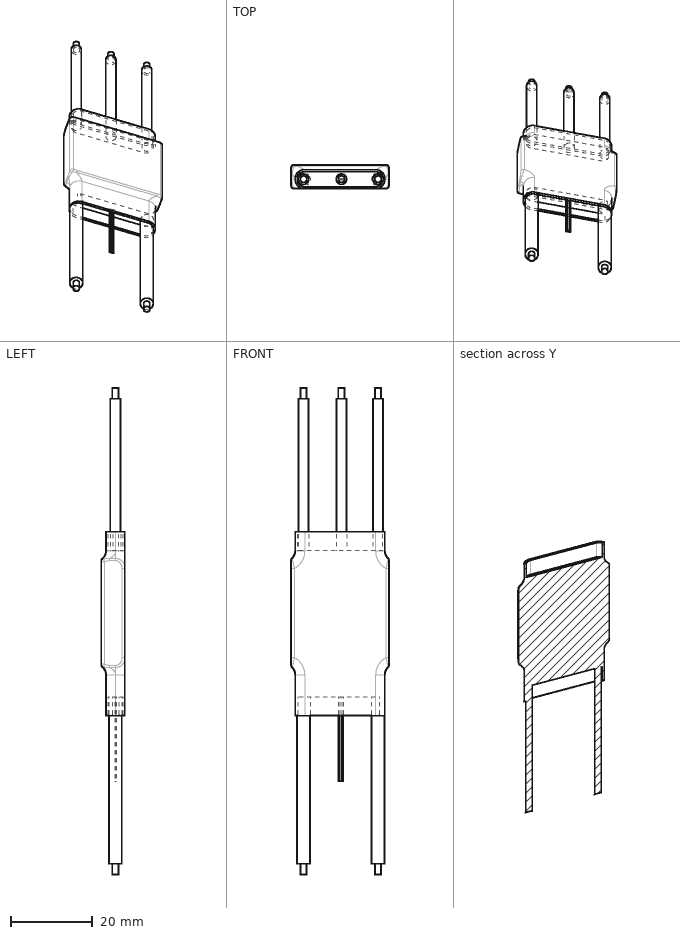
import cadquery as cq

total_length = 119.13
body_width = 24.0
body_thickness = 5.84
body_length = 45.0
body_edge_radius = 0.75

sleeve_width = 22.0
sleeve_thickness = 4.66
sleeve_wall = 0.5
upper_sleeve_length = 4.7
lower_sleeve_length = 10.0
mouth_depth = 4.6
flare_radius = 2.5
side_flat = 0.02
sleeve_edge_radius = (sleeve_thickness - side_flat) / 2

upper_wire_reach = 35.2
lower_wire_reach = total_length - body_length - upper_wire_reach
upper_wire_diameter = 2.54
lower_wire_diameter = 3.2
conductor_diameter = 1.58
bare_length = 2.65
left_wire_x = -8.93
middle_wire_x = 0.35
right_wire_x = 9.3
wire_y = sleeve_thickness / 2

signal_wire_count = 3
signal_wire_diameter = 0.41
signal_wire_pitch = 0.40
ribbon_reach = 16.1
ribbon_x = 0.2

body_bottom = lower_wire_reach
body_top = body_bottom + body_length
body_middle = (body_bottom + body_top) / 2

trim_margin = 6.0
blank_half_width = sleeve_width / 2 + flare_radius + trim_margin
blank_thickness = sleeve_thickness + flare_radius + trim_margin


def box_between(x_range, y_range, z_range):
    """Box spanning the given (low, high) ranges."""
    sizes = [high - low for low, high in (x_range, y_range, z_range)]
    corner = (x_range[0], y_range[0], z_range[0])
    return cq.Workplane("XY").box(*sizes, centered=False).translate(corner)


def sleeve_cutters(z_range, ledge):
    """Boxes that narrow the blank to a sleeve; a rounded edge at the ledge leaves the flare."""
    half_width = sleeve_width / 2
    full_x = (-blank_half_width, blank_half_width)
    full_y = (0, blank_thickness)
    right = box_between((half_width, blank_half_width), full_y, z_range)
    left = box_between((-blank_half_width, -half_width), full_y, z_range)
    back = box_between(full_x, (sleeve_thickness, blank_thickness), z_range)
    return [
        right.faces(ledge).edges("<X").fillet(flare_radius),
        left.faces(ledge).edges(">X").fillet(flare_radius),
        back.faces(ledge).edges("<Y").fillet(flare_radius),
    ]


def round_sleeve_edges(blank):
    """Round the long edges of both sleeves, following them out along the flares."""
    gap = 0.1
    inner_x = sleeve_width / 2 - gap
    outer_x = sleeve_width / 2 + flare_radius
    z_low = body_bottom + gap
    z_high = body_top - gap
    edges = []
    for x_low, x_high in ((-outer_x, -inner_x), (inner_x, outer_x)):
        region = cq.selectors.BoxSelector((x_low, -gap, z_low), (x_high, blank_thickness, z_high))
        edges += blank.edges(region).edges("not |Y").vals()
    return blank.newObject(edges).fillet(sleeve_edge_radius)


def make_body():
    """Solid body with flared sleeves and rounded block edges."""
    full_x = (-blank_half_width, blank_half_width)
    blank = box_between(full_x, (0, blank_thickness), (body_bottom, body_top))
    lower_range = (body_bottom, body_bottom + lower_sleeve_length + flare_radius)
    upper_range = (body_top - upper_sleeve_length - flare_radius, body_top)
    for cutter in sleeve_cutters(lower_range, ">Z") + sleeve_cutters(upper_range, "<Z"):
        blank = blank.cut(cutter)
    blank = round_sleeve_edges(blank)
    half_width = body_width / 2
    block = box_between((-half_width, half_width), (0, body_thickness), (body_bottom, body_top))
    body = blank.intersect(block)
    return body.faces(">X or <X or >Y").edges().fillet(body_edge_radius)


def mouth(bottom):
    """Recess of a sleeve end, starting at the given level, one wall inside the sleeve's outline."""
    return (
        cq.Workplane("XY", origin=(0, wire_y, bottom))
        .slot2D(sleeve_width - 2 * sleeve_wall, sleeve_thickness - 2 * sleeve_wall)
        .extrude(mouth_depth)
    )


def rod(x, diameter, start, end):
    """Round rod along Z in the plane of the wires."""
    return cq.Workplane("XY", origin=(x, wire_y, start)).circle(diameter / 2).extrude(end - start)


def power_wire(x, diameter, start, end):
    """Insulated wire from start to end along Z, with its bare conductor at the end."""
    direction = 1 if end > start else -1
    insulation = rod(x, diameter, start, end - direction * bare_length)
    conductor = rod(x, conductor_diameter, start, end)
    return insulation.union(conductor)


def signal_wire(index):
    """One of the fine wires side by side in the ribbon, hanging out of the lower sleeve."""
    offset = (index - (signal_wire_count - 1) / 2) * signal_wire_pitch
    return rod(ribbon_x + offset, signal_wire_diameter, body_middle, body_bottom - ribbon_reach)


result = make_body()
for mouth_bottom in (body_bottom, body_top - mouth_depth):
    result = result.cut(mouth(mouth_bottom))
for wire_x in (left_wire_x, middle_wire_x, right_wire_x):
    result = result.union(power_wire(wire_x, upper_wire_diameter, body_middle, total_length))
for wire_x in (left_wire_x, right_wire_x):
    result = result.union(power_wire(wire_x, lower_wire_diameter, body_middle, 0))
for wire_index in range(signal_wire_count):
    result = result.union(signal_wire(wire_index))